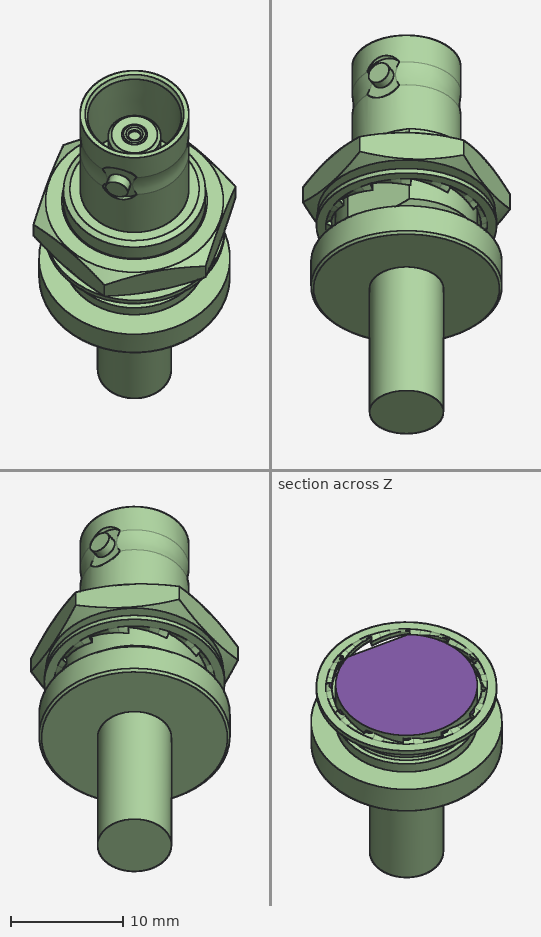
import cadquery as cq
import math

TOTAL_HEIGHT = 37.9
FLANGE_BOTTOM = 13.55
FLANGE_TOP = 16.52
COLLAR_TOP = 17.55
GROOVE_BOTTOM = 17.78
GROOVE_TOP = 18.42
THREAD_BOTTOM = 18.87
WASHER_BOTTOM = 20.45
NUT_BOTTOM = 22.0
NUT_TOP = 24.98
THREAD_TOP = 26.8

STEM_RADIUS = 3.3
FLANGE_DIAMETER = 17.0
FLANGE_RADIUS = FLANGE_DIAMETER / 2
FLANGE_CHAMFER = 0.23
THREAD_RADIUS = 6.33
THREAD_TIP_RADIUS = 5.75
THREAD_TIP_HEIGHT = 0.23
GROOVE_RADIUS = 5.72
GROOVE_FOOT_RADIUS = 5.87
THREAD_FLAT_Y = 5.55
BARREL_RADIUS = 4.85

BAYONET_Z = 33.73
BAYONET_GROOVE_HALF_HEIGHT = 1.25
BAYONET_GROOVE_RADIUS = 4.75
SPOT_FACE_RADIUS = 2.05
SPOT_FACE_RIM_RADIUS = 2.25
SPOT_FACE_Y = 4.6
PIN_RADIUS = 1.02
PIN_TIP_Y = 5.5

SOCKET_FLOOR_RADIUS = 4.1
SOCKET_RIM_RADIUS = 4.17
SOCKET_MOUTH_RADIUS = 4.4
SOCKET_MOUTH_DEPTH = 0.38
SOCKET_DEPTH = 8.35
POST_RADIUS = 2.35
POST_TIP_RADIUS = 2.05
POST_TIP_HEIGHT = 0.3
POST_RECESS = 3.05
CONTACT_RADIUS = 1.15
CONTACT_TIP_RADIUS = 1.0
CONTACT_RISE = 0.08
CONTACT_MOUTH_RADIUS = 0.75
CONTACT_MOUTH_DEPTH = 0.15
CONTACT_BORE_RADIUS = 0.55
CONTACT_BORE_DEPTH = 0.38

NUT_ACROSS_CORNERS = 18.5
NUT_FACE_RADIUS = 7.92
NUT_CORNER_DROP = 0.7
NUT_BORE_RADIUS = 5.9
NUT_MOUTH_RADIUS = 6.48
NUT_MOUTH_DEPTH = 0.35

WASHER_RADIUS = 8.05
WASHER_THICKNESS = 0.5
TOOTH_ROOT_RADIUS = 7.2
TOOTH_TIP_RADIUS = 6.67
TOOTH_RISE = 0.38
TOOTH_COUNT = 12
TOOTH_SECTIONS = 5
TOOTH_ROOT_OVERLAP = 0.05


def revolve_profile(points):
    """Turn an (r, z) outline about the Z axis."""
    return cq.Workplane("XZ").polyline(points).close().revolve(360, (0, 0, 0), (0, 1, 0))


def make_stem_and_flange():
    return revolve_profile([
        (0, 0),
        (STEM_RADIUS, 0),
        (STEM_RADIUS, FLANGE_BOTTOM),
        (FLANGE_RADIUS - FLANGE_CHAMFER, FLANGE_BOTTOM),
        (FLANGE_RADIUS, FLANGE_BOTTOM + FLANGE_CHAMFER),
        (FLANGE_RADIUS, FLANGE_TOP),
        (0, FLANGE_TOP),
    ])


def make_thread():
    """Collar, relief groove and thread, with one flat on the +Y side."""
    thread = revolve_profile([
        (0, FLANGE_TOP),
        (THREAD_RADIUS, FLANGE_TOP),
        (THREAD_RADIUS, COLLAR_TOP),
        (GROOVE_FOOT_RADIUS, COLLAR_TOP),
        (GROOVE_RADIUS, GROOVE_BOTTOM),
        (GROOVE_RADIUS, GROOVE_TOP),
        (THREAD_RADIUS, THREAD_BOTTOM),
        (THREAD_RADIUS, THREAD_TOP - THREAD_TIP_HEIGHT),
        (THREAD_TIP_RADIUS, THREAD_TOP),
        (0, THREAD_TOP),
    ])
    flat_cut = cq.Workplane("XY").box(
        2 * THREAD_RADIUS, THREAD_RADIUS, THREAD_TOP - FLANGE_TOP, centered=(True, False, False)
    )
    return thread.cut(flat_cut.translate((0, THREAD_FLAT_Y, FLANGE_TOP)))


def make_bayonet_groove():
    """Shallow ring groove of circular-arc section around the barrel."""
    return (
        cq.Workplane("XZ")
        .moveTo(BARREL_RADIUS, BAYONET_Z - BAYONET_GROOVE_HALF_HEIGHT)
        .threePointArc(
            (BAYONET_GROOVE_RADIUS, BAYONET_Z),
            (BARREL_RADIUS, BAYONET_Z + BAYONET_GROOVE_HALF_HEIGHT),
        )
        .close()
        .revolve(360, (0, 0, 0), (0, 1, 0))
    )


def make_spot_face_cut():
    """Cone frustum cutting the flat seat of the -Y pin."""
    seat = cq.Vector(0, -SPOT_FACE_Y, BAYONET_Z)
    depth = BARREL_RADIUS - SPOT_FACE_Y
    return cq.Workplane(
        obj=cq.Solid.makeCone(SPOT_FACE_RADIUS, SPOT_FACE_RIM_RADIUS, depth, seat, cq.Vector(0, -1, 0))
    )


def make_pin():
    """Bayonet pin on the -Y side."""
    root = cq.Vector(0, -SOCKET_RIM_RADIUS, BAYONET_Z)
    length = PIN_TIP_Y - SOCKET_RIM_RADIUS
    return cq.Workplane(obj=cq.Solid.makeCylinder(PIN_RADIUS, length, root, cq.Vector(0, -1, 0)))


def make_barrel():
    """Barrel with its bayonet groove and a spot face and pin on each Y side."""
    barrel = (
        cq.Workplane("XY", origin=(0, 0, THREAD_TOP))
        .circle(BARREL_RADIUS)
        .extrude(TOTAL_HEIGHT - THREAD_TOP)
        .cut(make_bayonet_groove())
    )
    for turn in (0, 180):
        barrel = barrel.cut(make_spot_face_cut().rotate((0, 0, 0), (0, 0, 1), turn))
        barrel = barrel.union(make_pin().rotate((0, 0, 0), (0, 0, 1), turn))
    return barrel


def make_socket_cut():
    return revolve_profile([
        (0, TOTAL_HEIGHT - SOCKET_DEPTH),
        (SOCKET_FLOOR_RADIUS, TOTAL_HEIGHT - SOCKET_DEPTH),
        (SOCKET_RIM_RADIUS, TOTAL_HEIGHT - SOCKET_MOUTH_DEPTH),
        (SOCKET_MOUTH_RADIUS, TOTAL_HEIGHT),
        (0, TOTAL_HEIGHT),
    ])


def make_post():
    """Insulator post with the bored, bevelled end of the centre contact standing slightly proud of it."""
    floor = TOTAL_HEIGHT - SOCKET_DEPTH
    post_top = TOTAL_HEIGHT - POST_RECESS
    contact_top = post_top + CONTACT_RISE
    bore_floor = contact_top - CONTACT_BORE_DEPTH
    return revolve_profile([
        (0, floor),
        (POST_RADIUS, floor),
        (POST_RADIUS, post_top - POST_TIP_HEIGHT),
        (POST_TIP_RADIUS, post_top),
        (CONTACT_RADIUS, post_top),
        (CONTACT_TIP_RADIUS, contact_top),
        (CONTACT_MOUTH_RADIUS, contact_top),
        (CONTACT_BORE_RADIUS, contact_top - CONTACT_MOUTH_DEPTH),
        (CONTACT_BORE_RADIUS, bore_floor),
        (0, bore_floor),
    ])


def make_nut():
    """Hexagon nut, corners on the Y axis, chamfered on both faces, bore countersunk on top."""
    height = NUT_TOP - NUT_BOTTOM
    corner_radius = NUT_ACROSS_CORNERS / 2
    nut = (
        cq.Workplane("XY", origin=(0, 0, NUT_BOTTOM))
        .transformed(rotate=(0, 0, 90))
        .polygon(6, NUT_ACROSS_CORNERS)
        .extrude(height)
    )
    turned_blank = revolve_profile([
        (NUT_BORE_RADIUS, NUT_BOTTOM),
        (NUT_FACE_RADIUS, NUT_BOTTOM),
        (corner_radius, NUT_BOTTOM + NUT_CORNER_DROP),
        (corner_radius, NUT_TOP - NUT_CORNER_DROP),
        (NUT_FACE_RADIUS, NUT_TOP),
        (NUT_MOUTH_RADIUS, NUT_TOP),
        (NUT_BORE_RADIUS, NUT_TOP - NUT_MOUTH_DEPTH),
    ])
    return nut.intersect(turned_blank)


def make_connector():
    """Connector body in one piece with its nut, whose bore bites into the thread."""
    return (
        make_stem_and_flange()
        .union(make_thread())
        .union(make_barrel())
        .cut(make_socket_cut())
        .union(make_post())
        .union(make_nut())
    )


def tooth_section(angle, rise):
    """Radial cross-section of a tooth, its inner end lifted by rise."""
    bottom = WASHER_BOTTOM
    top = bottom + WASHER_THICKNESS
    outline = [
        (TOOTH_ROOT_RADIUS, bottom),
        (TOOTH_ROOT_RADIUS, top),
        (TOOTH_TIP_RADIUS, top + rise),
        (TOOTH_TIP_RADIUS, bottom + rise),
    ]
    points = [cq.Vector(r * math.cos(angle), r * math.sin(angle), z) for r, z in outline]
    return cq.Wire.makePolygon(points, close=True)


def make_tooth(start_angle):
    """Twisted tooth: its inner edge runs from above the ring to below it."""
    pitch = 2 * math.pi / TOOTH_COUNT
    sections = []
    for i in range(TOOTH_SECTIONS):
        share = i / (TOOTH_SECTIONS - 1)
        sections.append(tooth_section(start_angle + share * pitch, TOOTH_RISE * (1 - 2 * share)))
    return cq.Workplane(obj=cq.Solid.makeLoft(sections, True))


def make_lock_washer():
    """Flat ring with twisted teeth around its inside, clear of the thread."""
    washer = (
        cq.Workplane("XY", origin=(0, 0, WASHER_BOTTOM))
        .circle(WASHER_RADIUS)
        .circle(TOOTH_ROOT_RADIUS - TOOTH_ROOT_OVERLAP)
        .extrude(WASHER_THICKNESS)
    )
    for i in range(TOOTH_COUNT):
        washer = washer.union(make_tooth(2 * math.pi * i / TOOTH_COUNT))
    return washer


connector = make_connector()
lock_washer = make_lock_washer()

result = cq.Compound.makeCompound([connector.solids().val(), lock_washer.solids().val()])